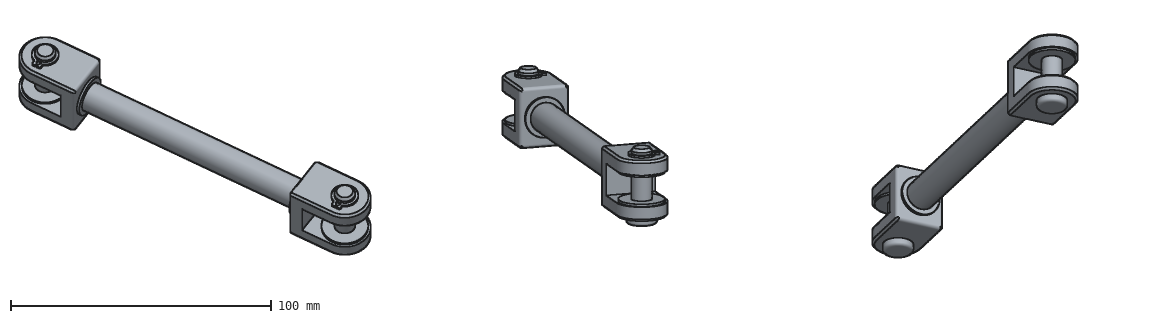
import cadquery as cq

length = 155.0
fork_width = 20.0
fork_height = 24.0
fork_length = 29.1
edge_chamfer = 1.0
back_fillet = 1.4

slot_depth = 23.1
slot_height = 12.5
pad_diameter = 18.0
pad_thickness = 1.0

rod_diameter = 12.0
collar_diameter = 16.0
collar_thickness = 1.1

pin_diameter = 8.0
pin_protrusion = 3.02
tip_chamfer_height = 1.2
tip_chamfer_width = 1.0
head_diameter = 12.0
head_fillet = 1.2

clip_diameter = 10.4
clip_thickness = 0.8
lug_reach = 6.8
lugs_width = 3.9
lug_gap = 0.6
lug_bite_diameter = 1.9
lug_corner_radius = 0.6
lug_bite_distance = 4.8

end_x = -length / 2
nose_radius = fork_width / 2
pin_x = end_x + nose_radius
back_x = end_x + fork_length
fork_top = fork_height / 2
pin_top = fork_top + pin_protrusion


def cylinder_z(diameter, height, bottom):
    """Cylinder on the pin axis, rising from the level `bottom`."""
    return cq.Workplane("XY", origin=(pin_x, 0, bottom)).circle(diameter / 2).extrude(height)


def make_fork():
    """U-shaped clevis with a round nose, chamfered long edges, a rounded back and pads inside the slot."""
    body = (
        cq.Workplane("XY", origin=(0, 0, -fork_top))
        .moveTo(back_x, -nose_radius)
        .lineTo(pin_x, -nose_radius)
        .threePointArc((end_x, 0), (pin_x, nose_radius))
        .lineTo(back_x, nose_radius)
        .close()
        .extrude(fork_height)
    )
    body = body.faces("<Z or >Z").edges("not >X").chamfer(edge_chamfer)
    body = body.faces(">X").edges().fillet(back_fillet)
    slot = cq.Workplane("XY", origin=(end_x, 0, 0)).box(2 * slot_depth, 2 * fork_width, slot_height)
    body = body.cut(slot)
    for pad_bottom in (-slot_height / 2, slot_height / 2 - pad_thickness):
        body = body.union(cylinder_z(pad_diameter, pad_thickness, pad_bottom))
    return body


def make_pin():
    """Pin with its rounded head and chamfered tip, revolved about its own axis."""
    pin_radius = pin_diameter / 2
    head_radius = head_diameter / 2
    half_profile = (
        cq.Workplane("XZ", origin=(pin_x, 0, 0))
        .moveTo(0, -pin_top)
        .lineTo(head_radius - head_fillet, -pin_top)
        .radiusArc((head_radius, -pin_top + head_fillet), -head_fillet)
        .lineTo(head_radius, -fork_top)
        .lineTo(pin_radius, -fork_top)
        .lineTo(pin_radius, pin_top - tip_chamfer_height)
        .lineTo(pin_radius - tip_chamfer_width, pin_top)
        .lineTo(0, pin_top)
        .close()
    )
    return half_profile.revolve(360, (0, 0, 0), (0, 1, 0))


def make_clip():
    """Flat retaining ring with a split pair of lugs."""
    lugs = (
        cq.Workplane("XY", origin=(pin_x, -lug_reach / 2, fork_top))
        .rect(lugs_width, lug_reach)
        .extrude(clip_thickness)
        .edges("|Z and <Y")
        .fillet(lug_corner_radius)
    )
    gap = (
        cq.Workplane("XY", origin=(pin_x, -(lug_bite_distance + lug_reach) / 2, fork_top))
        .rect(lug_gap, lug_reach - lug_bite_distance)
        .extrude(clip_thickness)
    )
    bite = (
        cq.Workplane("XY", origin=(pin_x, -lug_bite_distance, fork_top))
        .circle(lug_bite_diameter / 2)
        .extrude(clip_thickness)
    )
    ring = cylinder_z(clip_diameter, clip_thickness, fork_top)
    return ring.union(lugs).cut(gap).cut(bite)


def make_collar():
    """Round collar on the back face of the fork."""
    return cq.Workplane("YZ", origin=(back_x, 0, 0)).circle(collar_diameter / 2).extrude(collar_thickness)


left_end = make_fork().union(make_collar()).union(make_clip()).union(make_pin())
right_end = left_end.mirror("YZ")
rod = cq.Workplane("YZ", origin=(back_x, 0, 0)).circle(rod_diameter / 2).extrude(-2 * back_x)

result = rod.union(left_end).union(right_end)